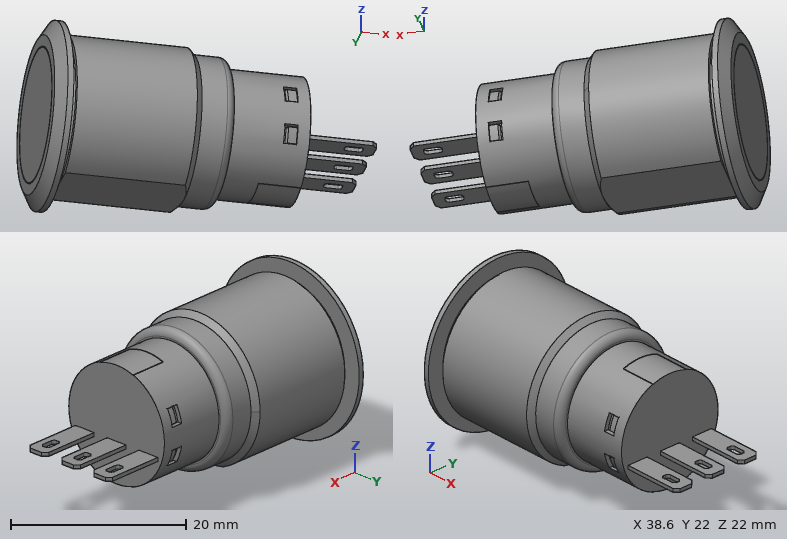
import cadquery as cq


bezel_d = 22.0
bezel_face_d = 18.4
bezel_cone_length = 1.12
bezel_thickness = 1.8
barrel_d = 18.95
neck_d = 17.5
barrel_start = 2.6
barrel_end = 17.4
barrel_chamfer = (barrel_d - neck_d) / 2
housing_end = 21.42
neck_fillet = 1.0
flat_z = -neck_d / 2

button_bore_d = 15.8
button_clearance = 0.1
button_d = button_bore_d - 2 * button_clearance
button_depth = bezel_thickness

base_d = 15.0
base_end = 30.5
pad_d = 14.9
pad_width = 5.2
pad_start = 25.5

window_start = 27.5
window_end = 29.03
window_height = 2.12
window_z = 2.5
window_floor_d = 13.9
latch_d = 14.45
latch_start = 27.75
latch_ramp = 0.25
latch_height = 1.75

terminal_tip = 38.6
terminal_width = 2.95
terminal_thickness = 0.5
terminal_pitch = 5.0
terminal_z = -2.35
terminal_tip_chamfer = 0.58
slot_length = 2.15
slot_width = 1.1
slot_corner_r = 0.4
slot_center = 36.13


def cylinder(diameter, start, end):
    """Cylinder about the X axis from X = start to X = end."""
    return cq.Workplane("YZ", origin=(start, 0, 0)).circle(diameter / 2).extrude(end - start)


def box(start, end, y_size, z_min, z_max):
    """Box centred on Y = 0."""
    return cq.Workplane("XY").box(
        end - start, y_size, z_max - z_min, centered=(False, True, False)
    ).translate((start, 0, z_min))


def make_housing():
    outline = (
        cq.Workplane("XY")
        .lineTo(0, bezel_face_d / 2)
        .lineTo(bezel_cone_length, bezel_d / 2)
        .lineTo(bezel_thickness, bezel_d / 2)
        .lineTo(bezel_thickness, neck_d / 2)
        .lineTo(barrel_start, neck_d / 2)
        .lineTo(barrel_start, barrel_d / 2)
        .lineTo(barrel_end - barrel_chamfer, barrel_d / 2)
        .lineTo(barrel_end, neck_d / 2)
        .lineTo(housing_end - neck_fillet, neck_d / 2)
        .radiusArc((housing_end, neck_d / 2 - neck_fillet), neck_fillet)
        .lineTo(housing_end, 0)
        .close()
    )
    housing = outline.revolve(360, (0, 0, 0), (1, 0, 0))
    below_flat = box(barrel_start, barrel_end, barrel_d, -barrel_d, flat_z)
    button_bore = cylinder(button_bore_d, 0, button_depth)
    return housing.cut(below_flat).cut(button_bore)


def make_button():
    return cylinder(button_d, 0, button_depth)


def make_pad_recess():
    """The thin skin removed from the base at both pads."""
    skin = cylinder(base_d, pad_start, base_end).cut(cylinder(pad_d, pad_start, base_end))
    return skin.intersect(box(pad_start, base_end, pad_width, -base_d / 2, base_d / 2))


def make_latch_core():
    """Turned shape whose conical front end gives each latch its ramp."""
    return (
        cq.Workplane("XY")
        .moveTo(latch_start, 0)
        .lineTo(latch_start, window_floor_d / 2)
        .lineTo(latch_start + latch_ramp, latch_d / 2)
        .lineTo(window_end, latch_d / 2)
        .lineTo(window_end, 0)
        .close()
        .revolve(360, (0, 0, 0), (1, 0, 0))
    )


def make_window_recess(z):
    """Recess of the two opposite windows centred at height z, with the latches left standing."""
    skin = cylinder(base_d, window_start, window_end).cut(
        cylinder(window_floor_d, window_start, window_end)
    )
    recess = skin.intersect(
        box(window_start, window_end, base_d, z - window_height / 2, z + window_height / 2)
    )
    latches = make_latch_core().intersect(
        box(latch_start, window_end, base_d, z - latch_height / 2, z + latch_height / 2)
    )
    return recess.cut(latches)


def make_terminal(y):
    """Flat terminal with a bevelled tip and a rounded slot."""
    blade = box(base_end, terminal_tip, terminal_width, -terminal_thickness / 2, terminal_thickness / 2)
    blade = blade.edges("|Z and >X").chamfer(terminal_tip_chamfer)
    slot = (
        cq.Workplane("XY")
        .box(slot_length, slot_width, terminal_thickness)
        .edges("|Z")
        .fillet(slot_corner_r)
        .translate((slot_center, 0, 0))
    )
    return blade.cut(slot).translate((0, y, terminal_z))


def make_base():
    base = cylinder(base_d, housing_end, base_end).cut(make_pad_recess())
    for z in (-window_z, window_z):
        base = base.cut(make_window_recess(z))
    for y in (-terminal_pitch, 0, terminal_pitch):
        base = base.union(make_terminal(y))
    return base


housing = make_housing()
button = make_button()
base = make_base()

result = cq.Compound.makeCompound([housing.val(), button.val(), base.val()])